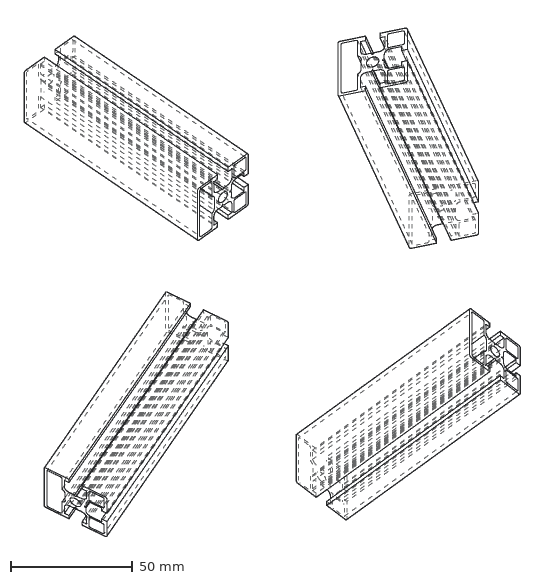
import cadquery as cq

length = 100.0
side = 30.0
half_side = side / 2
corner_radius = 1.0

opening_width = 6.2
lip_thickness = 2.5
slot_width = 10.5
slot_floor = 5.0
floor_radius = 2.5
groove_width = 1.0
groove_depth = 0.8

outer_wall = 1.3
web_beside_slot = 1.2
web_above_slot = 0.9
chamber_radius = 0.8
large_chamber_radius = 1.3
neck_half_height = 5.1
neck_radius = 2.4

bore_diameter = 5.3

chamber_outer = half_side - outer_wall
chamber_inner_y = slot_width / 2 + web_beside_slot
chamber_inner_z = slot_width / 2 + web_above_slot


def prism(points):
    """Extrude a closed (y, z) outline along the whole profile."""
    return cq.Workplane("YZ").polyline(points).close().extrude(length)


def box(y_min, y_max, z_min, z_max):
    return prism([(y_min, z_min), (y_max, z_min), (y_max, z_max), (y_min, z_max)])


def slot_cutter():
    """T-slot open towards +Z, with rounded floor corners and a V groove."""
    half_slot = slot_width / 2
    half_opening = opening_width / 2
    half_groove = groove_width / 2
    chamber = box(-half_slot, half_slot, slot_floor, half_side - lip_thickness)
    chamber = chamber.edges("|X and <Z").fillet(floor_radius)
    opening = box(-half_opening, half_opening, half_side - lip_thickness, half_side)
    groove = prism([
        (-half_groove, slot_floor),
        (0, slot_floor - groove_depth),
        (half_groove, slot_floor),
    ])
    return chamber.union(opening).union(groove)


def corner_chamber():
    """Square chamber in the +Y +Z corner."""
    chamber = box(chamber_inner_y, chamber_outer, chamber_inner_z, chamber_outer)
    return chamber.edges("|X").fillet(chamber_radius)


def closed_side_chamber():
    """Full-height chamber behind the closed -Y side, reaching in to the core."""
    main = box(-chamber_outer, -chamber_inner_y, -chamber_outer, chamber_outer)
    main = main.edges("|X and >Z").fillet(chamber_radius)
    main = main.edges("|X and <Z and >Y").fillet(chamber_radius)
    main = main.edges("|X and <Z and <Y").fillet(large_chamber_radius)
    neck = box(-chamber_outer, -slot_floor, -neck_half_height, neck_half_height)
    neck = neck.edges("|X and >Y").fillet(neck_radius)
    return main.union(neck)


profile = box(-half_side, half_side, -half_side, half_side)
profile = profile.edges("|X").fillet(corner_radius)

for angle in (0, -90, 180):
    profile = profile.cut(slot_cutter().rotate((0, 0, 0), (1, 0, 0), angle))

upper_chamber = corner_chamber()
profile = profile.cut(upper_chamber).cut(upper_chamber.mirror("XY"))
profile = profile.cut(closed_side_chamber())

bore = cq.Workplane("YZ").circle(bore_diameter / 2).extrude(length)
profile = profile.cut(bore)

result = profile.translate((-length / 2, 0, 0))